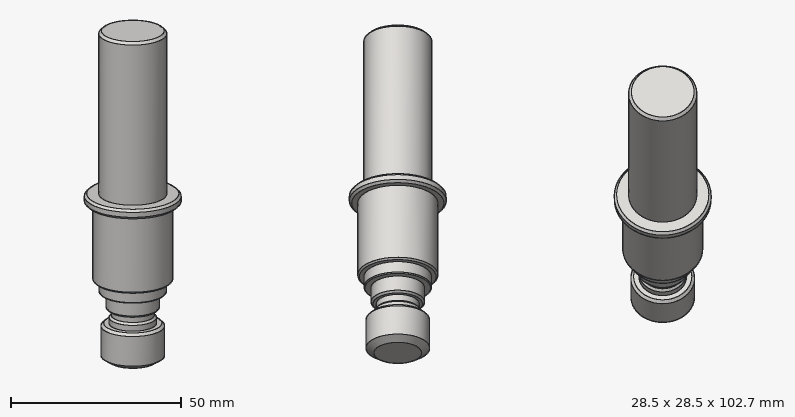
import cadquery as cq

total_length = 102.7
collar_top = 52.0
collar_bottom = 49.0
body_bottom = 25.0
pilot_bottom = 21.3
neck_bottom = 16.0
groove_bottom = 14.1
head_top = 11.6

shank_diameter = 20.0
collar_diameter = 28.5
body_diameter = 23.5
pilot_diameter = 19.8
neck_diameter = 15.7
groove_diameter = 12.6
stem_diameter = 14.0
head_diameter = 18.7

shank_chamfer = 0.8
collar_chamfer = 0.7
body_chamfer = 0.5
pilot_chamfer = 0.3
neck_chamfer = 0.6
stem_chamfer = (stem_diameter - groove_diameter) / 2
head_top_chamfer = 0.8
head_bottom_chamfer_height = 1.5
head_bottom_chamfer_width = 2.4


def cylinder(diameter, bottom, top):
    """Solid cylinder on the Z axis between two levels."""
    return cq.Workplane("XY").workplane(offset=bottom).circle(diameter / 2).extrude(top - bottom)


def make_head():
    """Round head with a small top chamfer and a wide, shallow lead-in below."""
    radius = head_diameter / 2
    return (
        cq.Workplane("XZ")
        .lineTo(radius - head_bottom_chamfer_width, 0)
        .lineTo(radius, head_bottom_chamfer_height)
        .lineTo(radius, head_top - head_top_chamfer)
        .lineTo(radius - head_top_chamfer, head_top)
        .lineTo(0, head_top)
        .close()
        .revolve(360, (0, 0, 0), (0, 1, 0))
    )


shank = cylinder(shank_diameter, collar_top, total_length).faces(">Z").chamfer(shank_chamfer)
collar = cylinder(collar_diameter, collar_bottom, collar_top).edges().chamfer(collar_chamfer)
body = cylinder(body_diameter, body_bottom, collar_bottom).faces("<Z").chamfer(body_chamfer)
pilot = cylinder(pilot_diameter, pilot_bottom, body_bottom).faces("<Z").chamfer(pilot_chamfer)
neck = cylinder(neck_diameter, neck_bottom, pilot_bottom).faces("<Z").chamfer(neck_chamfer)
groove = cylinder(groove_diameter, groove_bottom, neck_bottom)
stem = cylinder(stem_diameter, head_top, groove_bottom).faces(">Z").chamfer(stem_chamfer)

result = make_head()
for section in (stem, groove, neck, pilot, body, collar, shank):
    result = result.union(section)